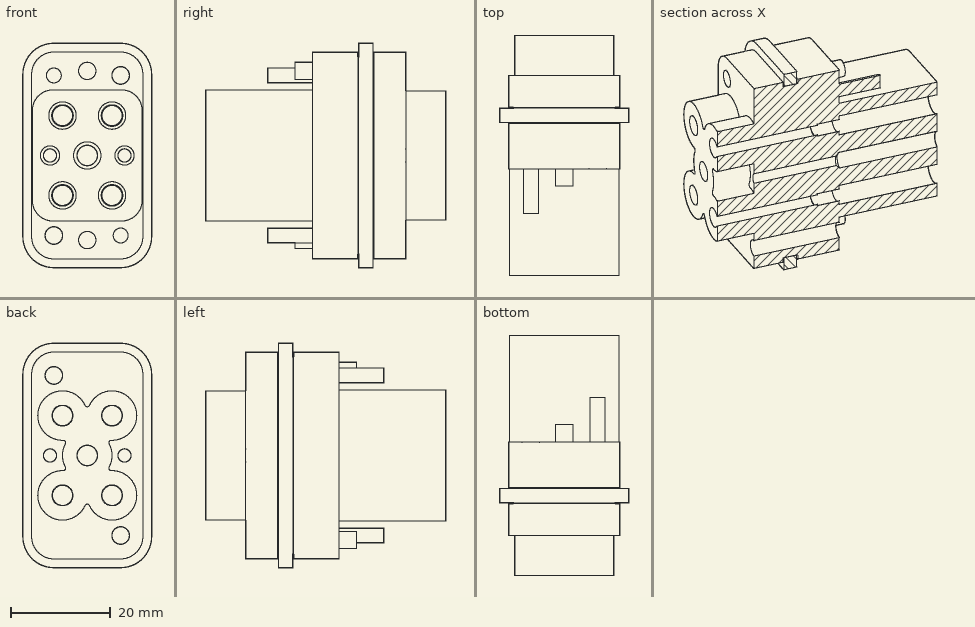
import cadquery as cq
import math


cable_end = 0
shoulder = 21.45
groove_start = 30.6
seal_start = 30.75
seal_end = 33.65
groove_end = 33.8
mating_face = 40.25
mating_end = 48.3

block_width = 22.05
block_height = 26.35
block_corner = 4.15

flange_width = 22.35
flange_height = 41.6
flange_corner = 4.5

groove_depth = 0.95
seal_projection = 1.8

post_radius = 4.97
post_blend = 0.5

power_x = 4.97
power_z = 8.0
contact_bore_radius = 2.75
power_step_radius = 2.15
power_throat_radius = 2.05
power_step_length = 4.85
earth_throat_radius = 2.05
earth_cone_length = 0.72
pilot_x = 7.5
pilot_bore_radius = 1.95
pilot_cone_radius = 1.65
pilot_throat_radius = 1.3
pilot_cone_length = 0.35

long_peg_radius = 1.5
long_peg_length = 9.0
short_peg_radius = 1.75
short_peg_length = 3.5
short_peg_z = 17.0
corner_x = 6.7
corner_z = 16.1
peg_hole_radius = 1.75


def section_at(y):
    """Workplane across the connector at station y, with local x = X and local y = Z."""
    return cq.Workplane("XZ", origin=(0, y, 0))


def rounded_block(width, height, corner, start, end):
    """Box with rounded corners that runs along Y from start to end."""
    box = section_at(start).rect(width, height).extrude(start - end)
    return box.edges("|Y").fillet(corner)


def rods(points, radius, start, end):
    """Round rods along Y from start to end, centred on the (x, z) points."""
    return section_at(start).pushPoints(points).circle(radius).extrude(start - end)


def turned_bore(x, z, profile):
    """Bore about the Y-axis line through (x, z); profile lists its (radius, y) corners."""
    outline = [(0, profile[0][1]), *profile, (0, profile[-1][1])]
    bore = cq.Workplane("XY").polyline(outline).close().revolve(360, (0, 0), (0, 1))
    return bore.translate((x, 0, z))


def toward(start, target, distance):
    """Point at the given distance from start on the line to target."""
    length = math.dist(start, target)
    return tuple(s + (t - s) * distance / length for s, t in zip(start, target))


def blend_centre(first, second):
    """Centre of the outside blend arc that touches two posts visited clockwise."""
    half_gap = math.dist(first, second) / 2
    offset = math.sqrt((post_radius + post_blend) ** 2 - half_gap**2)
    run_x = (second[0] - first[0]) / (2 * half_gap)
    run_z = (second[1] - first[1]) / (2 * half_gap)
    middle_x = (first[0] + second[0]) / 2
    middle_z = (first[1] + second[1]) / 2
    return (middle_x - run_z * offset, middle_z + run_x * offset)


def mating_posts():
    """Five round posts joined into one block, with a blend arc in each outer notch."""
    posts = [
        ((-power_x, power_z), (-2 * power_x, 2 * power_z)),
        ((power_x, power_z), (2 * power_x, 2 * power_z)),
        ((0, 0), (power_x, 0)),
        ((power_x, -power_z), (2 * power_x, -2 * power_z)),
        ((-power_x, -power_z), (-2 * power_x, -2 * power_z)),
        ((0, 0), (-power_x, 0)),
    ]
    last_blend = blend_centre(posts[-1][0], posts[0][0])
    outline = section_at(mating_face).moveTo(*toward(posts[0][0], last_blend, post_radius))
    for index, (centre, outside) in enumerate(posts):
        following = posts[(index + 1) % len(posts)][0]
        blend = blend_centre(centre, following)
        between = ((centre[0] + following[0]) / 2, (centre[1] + following[1]) / 2)
        outline = outline.threePointArc(
            toward(centre, outside, post_radius), toward(centre, blend, post_radius)
        )
        outline = outline.threePointArc(
            toward(blend, between, post_blend), toward(following, blend, post_radius)
        )
    return outline.close().extrude(mating_face - mating_end)


def contact_bores():
    """Four power bores, the central earth bore and two pilot bores, all open at both ends."""
    power_profile = [
        (contact_bore_radius, cable_end),
        (contact_bore_radius, shoulder),
        (power_step_radius, shoulder),
        (power_step_radius, shoulder + power_step_length),
        (power_throat_radius, shoulder + power_step_length),
        (power_throat_radius, mating_end),
    ]
    earth_profile = [
        (contact_bore_radius, cable_end),
        (contact_bore_radius, shoulder),
        (earth_throat_radius, shoulder + earth_cone_length),
        (earth_throat_radius, mating_end),
    ]
    pilot_profile = [
        (pilot_bore_radius, cable_end),
        (pilot_bore_radius, shoulder),
        (pilot_cone_radius, shoulder + pilot_cone_length),
        (pilot_throat_radius, shoulder + 2 * pilot_cone_length),
        (pilot_throat_radius, mating_end),
    ]
    bores = [turned_bore(0, 0, earth_profile)]
    for side in (-1, 1):
        bores.append(turned_bore(side * pilot_x, 0, pilot_profile))
        for level in (-1, 1):
            bores.append(turned_bore(side * power_x, level * power_z, power_profile))
    return bores


def flange_outline_block(offset, start, end):
    """Rounded block whose outline is the flange outline moved outward by offset."""
    return rounded_block(
        flange_width + 2 * offset, flange_height + 2 * offset, flange_corner + offset, start, end
    )


def ring_above_groove_floor(offset, start, end):
    """Ring from the groove floor out to the flange outline moved outward by offset."""
    floor = flange_outline_block(-groove_depth, start, end)
    return flange_outline_block(offset, start, end).cut(floor)


def make_housing():
    """Cable block, grooved flange, mating posts and pegs in one piece, with all bores cut."""
    housing = rounded_block(block_width, block_height, block_corner, cable_end, shoulder)
    housing = housing.union(flange_outline_block(0, shoulder, mating_face))
    housing = housing.cut(ring_above_groove_floor(0, groove_start, groove_end))
    housing = housing.union(mating_posts())

    long_pegs = [(-corner_x, corner_z), (corner_x, -corner_z)]
    short_pegs = [(0, short_peg_z), (0, -short_peg_z)]
    peg_holes = [(corner_x, corner_z), (-corner_x, -corner_z)]
    housing = housing.union(rods(long_pegs, long_peg_radius, shoulder - long_peg_length, shoulder))
    housing = housing.union(rods(short_pegs, short_peg_radius, shoulder - short_peg_length, shoulder))
    housing = housing.cut(rods(peg_holes, peg_hole_radius, shoulder, mating_face))

    for bore in contact_bores():
        housing = housing.cut(bore)
    return housing


def make_seal():
    """Flat ring that sits on the groove floor and stands out from the flange."""
    return ring_above_groove_floor(seal_projection, seal_start, seal_end)


housing = make_housing()
seal = make_seal()

result = cq.Compound.makeCompound([housing.solids().val(), seal.solids().val()])